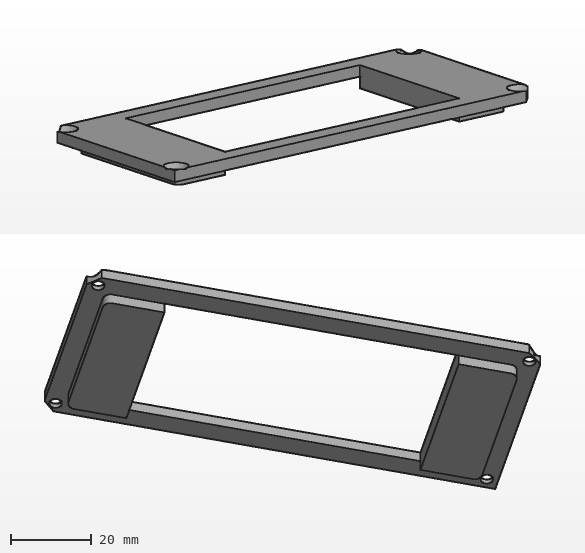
import cadquery as cq

plate_width = 49.0
plate_length = 116
plate_thickness = 3.0
corner_cut = 3.1

bent_cut_length = 3.7
knee_from_side = 0.9
knee_from_end = 2.4

window_width = 38.7
window_length = 75.2
block_end_inset = 5.1
block_height = 3.0
block_corner_radius = 2.0

hole_inset = 2.9
hole_diameter = 3.1
countersink_diameter = 6.3
countersink_angle = 90


def make_plate():
    """Plate with its top face at Z = 0 and one square corner at +X, -Y."""
    side = plate_width / 2
    end = plate_length / 2
    outline = [
        (side, -end),
        (side, end - corner_cut),
        (side - corner_cut, end),
        (-side + corner_cut, end),
        (-side, end - corner_cut),
        (-side, -end + bent_cut_length),
        (-side + knee_from_side, -end + knee_from_end),
        (-side + corner_cut, -end),
    ]
    return cq.Workplane("XY").polyline(outline).close().extrude(-plate_thickness)


def make_blocks():
    """Locating blocks: a rounded slab that the window divides in two."""
    return (
        cq.Workplane("XY", origin=(0, 0, -plate_thickness - block_height))
        .rect(window_width, plate_length - 2 * block_end_inset)
        .extrude(block_height)
        .edges("|Z")
        .fillet(block_corner_radius)
    )


def cut_window(body):
    return body.cut(
        cq.Workplane("XY")
        .rect(window_width, window_length)
        .extrude(-plate_thickness - block_height)
    )


def cut_corner_holes(body):
    return (
        body.faces(">Z")
        .workplane(origin=(0, 0, 0))
        .rect(plate_width - 2 * hole_inset, plate_length - 2 * hole_inset, forConstruction=True)
        .vertices()
        .cskHole(hole_diameter, countersink_diameter, countersink_angle)
    )


result = cut_corner_holes(cut_window(make_plate().union(make_blocks())))